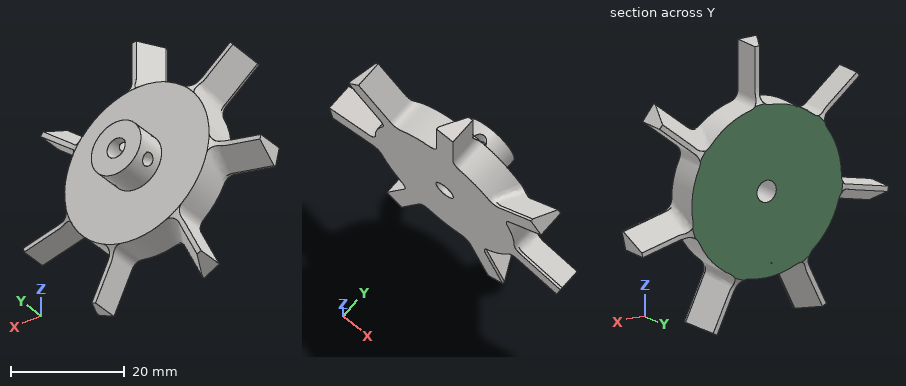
import cadquery as cq
import math

disc_radius = 16.0
disc_thickness = 6.5
hub_diameter = 11.0
hub_length = 6.0
bore_diameter = 4.0
overall_depth = disc_thickness + hub_length

screw_angles = (0, -120)
screw_diameter = 2.5
screw_position = disc_thickness + hub_length / 2

blade_count = 7
blade_width = 3.8
blade_tip_radius = 26.886
blade_depth = 5.4
blade_land = 0.5
blade_slant = 30.0

side_fillet = 2.0
back_sweep_radius = 5.0

distance_tolerance = 1e-3


def cylinder(diameter, start, length):
    """Cylinder on the Y axis, running from Y = start toward +Y, with its seam line at +X."""
    plane = cq.Plane(origin=(0, start, 0), xDir=(1, 0, 0), normal=(0, 1, 0))
    return cq.Workplane(plane).circle(diameter / 2).extrude(length)


def spun_copies(shape, count):
    """Evenly spaced copies of a shape about the Y axis."""
    return [shape.rotate((0, 0, 0), (0, 1, 0), index * 360 / count) for index in range(count)]


def make_blade():
    """Blade blank along +Z, as deep as the disc."""
    half_width = blade_width / 2
    slant_run = (disc_thickness - blade_land) * math.tan(math.radians(blade_slant))
    section = [
        (-half_width, 0),
        (half_width, 0),
        (half_width, disc_thickness),
        (-half_width + slant_run, disc_thickness),
        (-half_width, blade_land),
    ]
    return cq.Workplane("XY").polyline(section).close().extrude(blade_tip_radius)


def blade_root_edges(body):
    """Edges on the rim that join the blade sides to the disc, without the end outlines and seam."""

    def is_root(edge):
        middle = edge.positionAt(0.5)
        on_rim = abs(math.hypot(middle.x, middle.z) - disc_radius) < distance_tolerance
        inside = distance_tolerance < middle.y < disc_thickness - distance_tolerance
        on_seam = abs(middle.z) < distance_tolerance
        return on_rim and inside and not on_seam

    return [edge for edge in body.edges().vals() if is_root(edge)]


def make_back_cutter():
    """Ring that faces the blades to their depth and leaves the concave sweep at the rim."""
    centre_depth = blade_depth + back_sweep_radius
    rim_rise = centre_depth - disc_thickness
    sweep_end = disc_radius + math.sqrt(back_sweep_radius**2 - rim_rise**2)
    half_angle = math.acos(rim_rise / back_sweep_radius) / 2
    sweep_middle = (
        sweep_end - back_sweep_radius * math.sin(half_angle),
        centre_depth - back_sweep_radius * math.cos(half_angle),
    )
    outer_radius = blade_tip_radius + blade_width
    profile = (
        cq.Workplane("XY")
        .moveTo(disc_radius, disc_thickness)
        .threePointArc(sweep_middle, (sweep_end, blade_depth))
        .lineTo(outer_radius, blade_depth)
        .lineTo(outer_radius, overall_depth)
        .lineTo(disc_radius, overall_depth)
        .close()
    )
    return profile.revolve(360, (0, 0, 0), (0, 1, 0))


def make_rotor():
    """Disc with its blades, root fillets and back sweep."""
    rotor = cylinder(2 * disc_radius, 0, disc_thickness)
    for blade in spun_copies(make_blade(), blade_count):
        rotor = rotor.union(blade)
    rotor = rotor.newObject(blade_root_edges(rotor)).fillet(side_fillet)
    return rotor.cut(make_back_cutter())


def add_hub(body):
    """Hub on the back of the disc, bored right through and drilled for set screws."""
    body = body.union(cylinder(hub_diameter, disc_thickness, hub_length))
    body = body.cut(cylinder(bore_diameter, 0, overall_depth))
    screw_hole = (
        cq.Workplane("XY").center(0, screw_position).circle(screw_diameter / 2).extrude(hub_diameter)
    )
    for angle in screw_angles:
        body = body.cut(screw_hole.rotate((0, 0, 0), (0, 1, 0), angle))
    return body


result = add_hub(make_rotor())